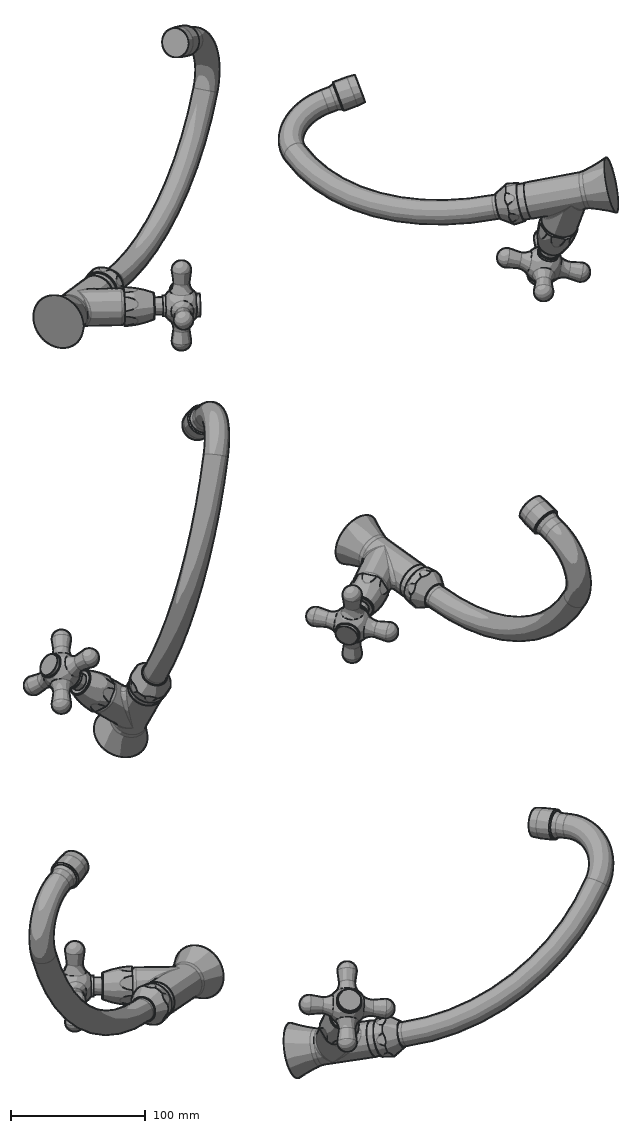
import cadquery as cq
import math

HEX_SIDES = 6

base_radius = 21.0
base_waist_radius = 17.0
base_waist_height = 9.5
base_top_radius = 14.3
base_top_height = 18.5
body_start_height = 21.5
body_radius = 13.8
body_neck_start = 63.5
body_neck_radius = 13.5
body_height = 69.2

spout_nut_bottom_radius = 14.5
spout_nut_radius = 15.5
spout_nut_rim_height = 77.0
spout_nut_top_radius = 10.0
spout_nut_height = 86.5
spout_nut_flat = 14.8

spout_radius = 9.2
spout_start = 89.4
long_bend_radius = 169.3
long_bend_angle = 65
hook_radius = 35.2
spout_end_angle = 165.5

nozzle_cone_start = 6.5
nozzle_cone_end = 9.7
nozzle_cone_radius = 10.2
nozzle_shoulder = 10.5
nozzle_radius = 11.5
nozzle_taper_start = 21.2
nozzle_length = 27.5
nozzle_mouth_radius = 11.0

branch_height = 31.0
branch_angle = 30
branch_radius = body_radius
branch_length = 35.0
branch_fillet = 2.5
valve_nut_radius = 14.5
valve_nut_flat = 13.5
valve_nut_middle = 46.0
valve_nut_middle_radius = 13.3
valve_nut_end = 57.5
valve_nut_end_radius = 10.2
valve_nut_lip = 0.8
stem_radius = 6.6

hub_station = 77.5
hub_radius = 14.3
cap_radius = 8.7
cap_face = 13.8
cap_thickness = 3.0
collar_radius = 8.0
collar_length = 14.0
arm_count = 4
arm_root = 8.7
arm_flare_mid = 12.8
arm_flare_mid_radius = 7.7
arm_waist = 19.0
arm_waist_radius = 6.1
arm_ball_radius = 7.5
arm_length = 35.7


def hexagon_prism(flat_distance, start, end):
    """Hexagonal bar along Z with two of its flats facing +Y and -Y."""
    corner_diameter = 2 * flat_distance / math.cos(math.pi / HEX_SIDES)
    return cq.Workplane("XY").workplane(offset=start).polygon(HEX_SIDES, corner_diameter).extrude(end - start)


def turned(profile):
    """Revolve a closed (radius, height) outline drawn on XZ around the Z axis."""
    return profile.close().revolve(360, (0, 0, 0), (0, 1, 0))


def placed(shape, origin, direction):
    """Move a shape built along Z so that it runs along a horizontal direction, its own Y turned to Z."""
    across = cq.Vector(0, 0, 1).cross(cq.Vector(*direction))
    plane = cq.Plane(origin=origin, xDir=across.toTuple(), normal=direction)
    return cq.Workplane(obj=shape.val().moved(cq.Location(plane)))


def make_body():
    profile = (
        cq.Workplane("XZ")
        .lineTo(base_radius, 0)
        .threePointArc((base_waist_radius, base_waist_height), (base_top_radius, base_top_height))
        .lineTo(body_radius, body_start_height)
        .lineTo(body_radius, body_neck_start)
        .lineTo(body_neck_radius, body_neck_start)
        .lineTo(body_neck_radius, body_height)
        .lineTo(0, body_height)
    )
    return turned(profile)


def make_spout_nut():
    profile = (
        cq.Workplane("XZ")
        .moveTo(0, body_height)
        .lineTo(spout_nut_bottom_radius, body_height)
        .lineTo(spout_nut_radius, spout_nut_rim_height)
        .lineTo(spout_nut_top_radius, spout_nut_height)
        .lineTo(0, spout_nut_height)
    )
    return turned(profile).intersect(hexagon_prism(spout_nut_flat, body_height, spout_nut_height))


def bend_point(center, radius, angle):
    """Point of a bend, as (Y, Z), where the spout heads at the given angle above +Y."""
    turn = math.radians(angle)
    return (center[0] + radius * math.sin(turn), center[1] - radius * math.cos(turn))


long_bend_center = (spout_start, long_bend_radius)
long_bend_end = bend_point(long_bend_center, long_bend_radius, long_bend_angle)
hook_center = bend_point(long_bend_center, long_bend_radius - hook_radius, long_bend_angle)
hook_end = bend_point(hook_center, hook_radius, spout_end_angle)
long_bend_middle = bend_point(long_bend_center, long_bend_radius, long_bend_angle / 2)
hook_middle = bend_point(hook_center, hook_radius, (long_bend_angle + spout_end_angle) / 2)


def make_spout():
    path = (
        cq.Workplane("YZ")
        .moveTo(body_height, 0)
        .lineTo(spout_start, 0)
        .threePointArc(long_bend_middle, long_bend_end)
        .threePointArc(hook_middle, hook_end)
    )
    start = cq.Plane(origin=(0, body_height, 0), xDir=(1, 0, 0), normal=(0, 1, 0))
    return cq.Workplane(start).circle(spout_radius).sweep(path)


def make_nozzle():
    profile = (
        cq.Workplane("XZ")
        .lineTo(spout_radius, 0)
        .lineTo(spout_radius, nozzle_cone_start)
        .lineTo(nozzle_cone_radius, nozzle_cone_end)
        .lineTo(nozzle_radius, nozzle_shoulder)
        .lineTo(nozzle_radius, nozzle_taper_start)
        .lineTo(nozzle_mouth_radius, nozzle_length)
        .lineTo(0, nozzle_length)
    )
    heading = math.radians(spout_end_angle)
    plane = cq.Plane(
        origin=(0, hook_end[0], hook_end[1]),
        xDir=(1, 0, 0),
        normal=(0, math.cos(heading), math.sin(heading)),
    )
    return cq.Workplane(obj=turned(profile).val().moved(cq.Location(plane)))


def make_valve_nut():
    """Rounded hexagonal nut together with the stem that carries the handle."""
    lip_start = valve_nut_end - valve_nut_lip
    profile = (
        cq.Workplane("XZ")
        .moveTo(0, branch_length)
        .lineTo(valve_nut_radius, branch_length)
        .threePointArc((valve_nut_middle_radius, valve_nut_middle), (valve_nut_end_radius, lip_start))
        .lineTo(valve_nut_end_radius - valve_nut_lip, valve_nut_end)
        .lineTo(stem_radius, valve_nut_end)
        .lineTo(stem_radius, hub_station)
        .lineTo(0, hub_station)
    )
    return turned(profile).intersect(hexagon_prism(valve_nut_flat, branch_length, hub_station))


def make_arm():
    """Arm along Z, flaring into the hub at its root and ending in a ball."""
    ball_center = arm_length - arm_ball_radius
    root_radius = math.sqrt(hub_radius**2 - arm_root**2)
    profile = (
        cq.Workplane("XZ")
        .lineTo(root_radius, 0)
        .lineTo(root_radius, arm_root)
        .threePointArc((arm_flare_mid_radius, arm_flare_mid), (arm_waist_radius, arm_waist))
        .lineTo(arm_ball_radius, ball_center)
        .radiusArc((0, arm_length), -arm_ball_radius)
    )
    return turned(profile)


def make_handle():
    """Hub, cap and crossed arms, centred on the origin with the cap facing +Z."""
    cap_seat = cap_face - cap_thickness
    front = cq.Workplane("XY").workplane(offset=cap_seat).circle(hub_radius).extrude(hub_radius - cap_seat)
    handle = cq.Workplane("XY").sphere(hub_radius).cut(front)
    cap = cq.Workplane("XY").circle(cap_radius).extrude(cap_face)
    collar = cq.Workplane("XY").circle(collar_radius).extrude(-collar_length)
    handle = handle.union(cap).union(collar)
    arm = make_arm().rotate((0, 0, 0), (1, 0, 0), 90)
    for index in range(arm_count):
        handle = handle.union(arm.rotate((0, 0, 0), (0, 0, 1), index * 360 / arm_count))
    return handle


def make_junction():
    """Body and side branch, with the crease between them rounded."""
    branch = cq.Workplane("XY").circle(branch_radius).extrude(branch_length)
    joined = placed(make_body(), body_origin, body_direction).union(
        placed(branch, branch_origin, branch_direction)
    )
    crease = cq.selectors.BoxSelector(
        (0, body_start_height, -branch_radius),
        (branch_length, body_neck_start, branch_radius),
    )
    return joined.edges(crease).fillet(branch_fillet)


body_origin = (0, 0, 0)
body_direction = (0, 1, 0)
tilt = math.radians(branch_angle)
branch_origin = (0, branch_height, 0)
branch_direction = (math.cos(tilt), math.sin(tilt), 0)

handle_on_stem = make_handle().translate((0, 0, hub_station))

result = (
    make_junction()
    .union(placed(make_spout_nut(), body_origin, body_direction))
    .union(make_spout())
    .union(make_nozzle())
    .union(placed(make_valve_nut(), branch_origin, branch_direction))
    .union(placed(handle_on_stem, branch_origin, branch_direction))
)